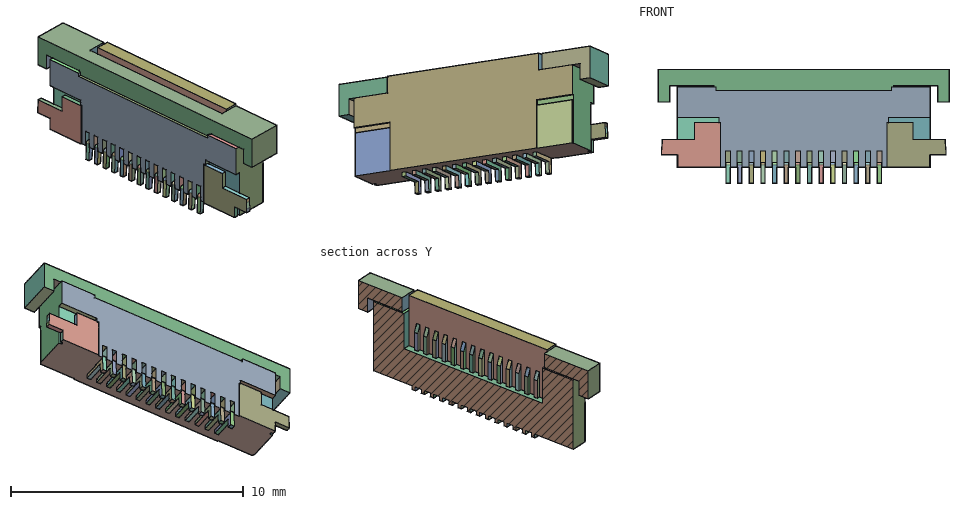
import cadquery as cq


BODY_HALF_WIDTH = 5.44
BODY_FRONT = 1.82
BODY_BOTTOM = 4.21
SHOULDER_DEPTH = 0.75
FRONT_STEP_DEPTH = 0.9
MOUTH_HALF_WIDTH = 3.76
TONGUE_FRONT = 0.61
MOUTH_FRONT = 1.0
MOUTH_DEPTH = 2.5

LEVER_HALF_WIDTH = 6.25
LEVER_BACK = 0.11
LEVER_FRONT = 1.7
LEVER_DEPTH = 0.71
HOOK_WIDTH = 0.5
HOOK_DEPTH = 1.41
LEVER_NOTCH_HALF_WIDTH = 3.86

RECESS_INNER = 3.65
RECESS_TOP = 2.06
REAR_RECESS_FRONT = 0.11
FRONT_RECESS_BACK = 1.59
TAB_INNER = 3.58
TAB_OUTER = 5.4
TAB_TOP = 2.29
TAB_BACK = 1.68
TAB_FRONT = 1.88
TAB_SHOULDER = 4.69
TAB_PACKER_TOP = 3.6
TAB_PACKER_OUTER = 5.3
REAR_PAD_BACK = 0.04
ARM_TOP = 3.01
ARM_BOTTOM = 3.68
ARM_TIP_UPPER = 6.09
ARM_TIP_LOWER = 6.11
TIP_SLOPE_TOP = 3.19
TIP_SLOPE_BOTTOM = 3.49

PIN_COUNT = 14
PIN_PITCH = 0.5
PIN_WIDTH = 0.19
PIN_TOP = 4.0
PIN_FOOT_BACK = 0.54
PIN_FOOT_BOTTOM = 4.4
PIN_TIP_DEPTH = 4.9
LEG_BACK = 1.59
LEG_FRONT = 1.79
LEG_LEAN = 0.04
BEND_RADIUS = 0.1
SLOT_WIDTH = 0.21
SLOT_TOP = 3.5
SLOT_BACK = 1.25

CONTACT_FRONT = 0.76
CONTACT_RAMP_TOP = 1.25
CONTACT_RAMP_BOTTOM = 1.62


def block(left, right, back, front, top, bottom):
    """Box between two X positions, two distances forward and two depths."""
    size = (right - left, front - back, bottom - top)
    return cq.Workplane("XY").box(*size, centered=False).translate((left, -front, -bottom))


def centred_block(half_width, back, front, top, bottom):
    return block(-half_width, half_width, back, front, top, bottom)


def both_sides(shape):
    return shape.union(shape.mirror("YZ"))


def make_housing():
    body = centred_block(BODY_HALF_WIDTH, 0, BODY_FRONT, SHOULDER_DEPTH, BODY_BOTTOM)
    front_step = centred_block(
        MOUTH_HALF_WIDTH, MOUTH_FRONT, BODY_FRONT, SHOULDER_DEPTH, FRONT_STEP_DEPTH
    )
    mouth = centred_block(
        MOUTH_HALF_WIDTH, TONGUE_FRONT, MOUTH_FRONT, SHOULDER_DEPTH, MOUTH_DEPTH
    )
    tongue = centred_block(MOUTH_HALF_WIDTH, 0, TONGUE_FRONT, 0, SHOULDER_DEPTH)
    rear_recess = block(
        RECESS_INNER, BODY_HALF_WIDTH, 0, REAR_RECESS_FRONT, RECESS_TOP, BODY_BOTTOM
    )
    front_recess = block(
        RECESS_INNER, BODY_HALF_WIDTH, FRONT_RECESS_BACK, BODY_FRONT, RECESS_TOP, BODY_BOTTOM
    )
    body = body.cut(front_step).cut(mouth).union(tongue)
    return body.cut(both_sides(rear_recess)).cut(both_sides(front_recess))


def make_lever():
    bar = centred_block(LEVER_HALF_WIDTH, LEVER_BACK, LEVER_FRONT, 0, LEVER_DEPTH)
    notch = centred_block(LEVER_NOTCH_HALF_WIDTH, LEVER_BACK, MOUTH_FRONT, 0, LEVER_DEPTH)
    hook = block(
        LEVER_HALF_WIDTH - HOOK_WIDTH, LEVER_HALF_WIDTH, LEVER_BACK, LEVER_FRONT, 0, HOOK_DEPTH
    )
    tenon = centred_block(
        LEVER_NOTCH_HALF_WIDTH, MOUTH_FRONT, LEVER_FRONT, 0, FRONT_STEP_DEPTH
    )
    return bar.cut(notch).union(both_sides(hook)).union(tenon)


def make_solder_tab():
    outline = [
        (TAB_INNER, -TAB_TOP),
        (TAB_SHOULDER, -TAB_TOP),
        (TAB_SHOULDER, -ARM_TOP),
        (ARM_TIP_UPPER, -ARM_TOP),
        (ARM_TIP_UPPER, -TIP_SLOPE_TOP),
        (ARM_TIP_LOWER, -TIP_SLOPE_BOTTOM),
        (ARM_TIP_LOWER, -ARM_BOTTOM),
        (TAB_OUTER, -ARM_BOTTOM),
        (TAB_OUTER, -BODY_BOTTOM),
        (TAB_INNER, -BODY_BOTTOM),
    ]
    plate = (
        cq.Workplane("XZ", origin=(0, -TAB_BACK, 0))
        .polyline(outline)
        .close()
        .extrude(TAB_FRONT - TAB_BACK)
    )
    packer = block(
        RECESS_INNER, TAB_PACKER_OUTER, FRONT_RECESS_BACK, TAB_BACK, TAB_PACKER_TOP, BODY_BOTTOM
    )
    rear_pad = block(
        RECESS_INNER, TAB_OUTER, REAR_PAD_BACK, REAR_RECESS_FRONT, TAB_TOP, BODY_BOTTOM
    )
    return plate.union(packer).union(rear_pad)


def make_pin(x):
    """Foot under the housing with a rounded bend into a slightly leaning leg."""
    bend_centre = (-(LEG_FRONT - BEND_RADIUS), -(PIN_TOP + BEND_RADIUS))
    bend_reach = BEND_RADIUS * 0.5**0.5
    return (
        cq.Workplane("YZ", origin=(x - PIN_WIDTH / 2, 0, 0))
        .moveTo(-PIN_FOOT_BACK, -PIN_TOP)
        .lineTo(bend_centre[0], -PIN_TOP)
        .threePointArc(
            (bend_centre[0] - bend_reach, bend_centre[1] + bend_reach),
            (-LEG_FRONT, bend_centre[1]),
        )
        .lineTo(-(LEG_FRONT + LEG_LEAN), -PIN_TIP_DEPTH)
        .lineTo(-(LEG_BACK + LEG_LEAN), -PIN_TIP_DEPTH)
        .lineTo(-LEG_BACK, -PIN_FOOT_BOTTOM)
        .lineTo(-PIN_FOOT_BACK, -PIN_FOOT_BOTTOM)
        .close()
        .extrude(PIN_WIDTH)
    )


def make_contact(x):
    """Rib on the tongue, from a lead-in ramp down to the floor of the mouth."""
    outline = [
        (-TONGUE_FRONT, -CONTACT_RAMP_TOP),
        (-CONTACT_FRONT, -CONTACT_RAMP_BOTTOM),
        (-CONTACT_FRONT, -MOUTH_DEPTH),
        (-TONGUE_FRONT, -MOUTH_DEPTH),
    ]
    plane = cq.Workplane("YZ", origin=(x - PIN_WIDTH / 2, 0, 0))
    return plane.polyline(outline).close().extrude(PIN_WIDTH)


result = make_housing().union(make_lever()).union(both_sides(make_solder_tab()))

for index in range(PIN_COUNT):
    pin_x = (index - (PIN_COUNT - 1) / 2) * PIN_PITCH
    slot = block(
        pin_x - SLOT_WIDTH / 2, pin_x + SLOT_WIDTH / 2, SLOT_BACK, BODY_FRONT, SLOT_TOP, BODY_BOTTOM
    )
    result = result.cut(slot).union(make_pin(pin_x)).union(make_contact(pin_x))